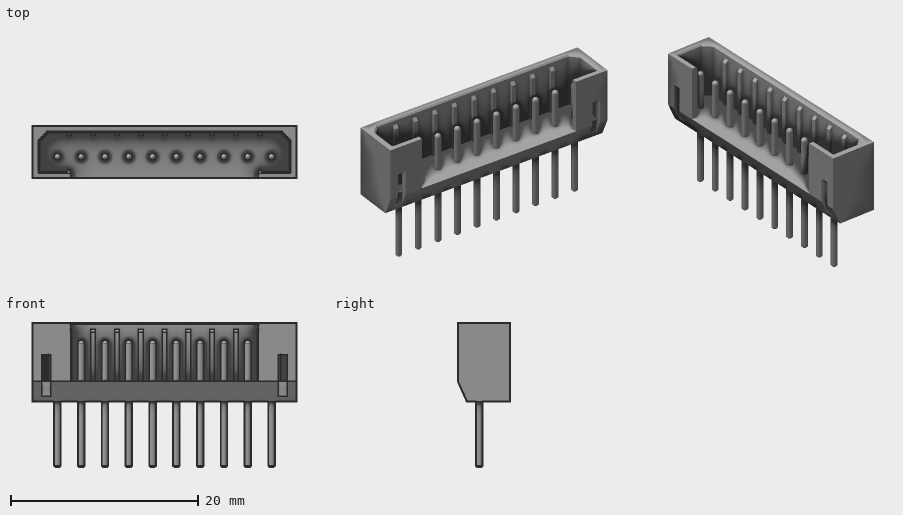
import cadquery as cq

length = 28.22
depth = 5.6
height = 8.4
floor_z = 2.17
front_bevel_height = 2.15
front_bevel_depth = 0.95

end_wall = 0.8
front_wall = 0.7
back_wall = 0.73
rim_bevel = 0.17
corner_cut = 0.93
opening_width = 20.05

slot_offset = 1.0
slot_width = 1.0
slot_top_z = 5.02

pin_count = 10
pitch = 2.55
pin_diameter = 0.73
pin_y = 2.29
pin_top_z = 6.58
pin_bottom_z = -7.0
pin_tip_chamfer = 0.17

rib_width = 0.5
rib_depth = 0.35
rib_top_z = 7.73

ridge_width = 0.42
ridge_depth = 0.23

pin_radius = pin_diameter / 2
cavity_half_length = length / 2 - end_wall
cavity_back_y = depth - back_wall


def spaced_x(count):
    """X positions one pitch apart, centred on X = 0."""
    return [(i - (count - 1) / 2) * pitch for i in range(count)]


def box(x_start, x_end, y_start, y_end, z_start, z_end):
    """Axis-aligned block between the given limits."""
    size = (x_end - x_start, y_end - y_start, z_end - z_start)
    return cq.Workplane("XY").box(*size, centered=False).translate((x_start, y_start, z_start))


def make_block():
    """Solid block with the lower front edge sloped back."""
    profile = [
        (front_bevel_depth, 0),
        (depth, 0),
        (depth, height),
        (0, height),
        (0, front_bevel_height),
    ]
    return cq.Workplane("YZ").polyline(profile).close().extrude(length / 2, both=True)


def cavity_outline(z):
    """Closed rectangle at the given level with its two back corners cut off."""
    half = cavity_half_length
    points = [
        (-half, front_wall),
        (half, front_wall),
        (half, cavity_back_y - corner_cut),
        (half - corner_cut, cavity_back_y),
        (corner_cut - half, cavity_back_y),
        (-half, cavity_back_y - corner_cut),
    ]
    return cq.Workplane("XY").workplane(offset=z).polyline(points).close()


def make_cavity():
    """Pocket that widens at 45 degrees towards the rim."""
    pocket = cavity_outline(floor_z).extrude(height - floor_z)
    rim = cavity_outline(height - rim_bevel).extrude(rim_bevel, taper=-45)
    return pocket.union(rim)


def make_ridge():
    """Ridge at the left edge of the opening, its top sloping on from the rim bevel."""
    edge_x = -opening_width / 2
    outline = [
        (edge_x - ridge_width, front_wall),
        (edge_x, front_wall),
        (edge_x - ridge_width / 2, front_wall + ridge_depth),
    ]
    ridge = cq.Workplane("XY").workplane(offset=floor_z).polyline(outline).close()
    ridge = ridge.extrude(height - rim_bevel - floor_z)
    top_z = height - rim_bevel
    back_y = front_wall + ridge_depth
    slope = [(front_wall, top_z), (back_y, top_z), (back_y, top_z - ridge_depth)]
    above = cq.Workplane("YZ").polyline(slope).close().extrude(length / 2, both=True)
    return ridge.cut(above)


def make_rib():
    """Back wall rib with a sloped top."""
    profile = [
        (cavity_back_y, floor_z),
        (cavity_back_y, rib_top_z),
        (cavity_back_y - rib_depth, rib_top_z - rib_depth),
        (cavity_back_y - rib_depth, floor_z),
    ]
    return cq.Workplane("YZ").polyline(profile).close().extrude(rib_width / 2, both=True)


def make_pin():
    """Round pin with a domed top and a chamfered bottom."""
    profile = (
        cq.Workplane("XZ")
        .moveTo(0, pin_bottom_z)
        .lineTo(pin_radius - pin_tip_chamfer, pin_bottom_z)
        .lineTo(pin_radius, pin_bottom_z + pin_tip_chamfer)
        .lineTo(pin_radius, pin_top_z - pin_radius)
        .radiusArc((0, pin_top_z), -pin_radius)
        .close()
    )
    return profile.revolve(360, (0, 0), (0, 1)).translate((0, pin_y, 0))


half_opening = opening_width / 2
opening = box(-half_opening, half_opening, 0, front_wall, floor_z, height)
result = make_block().cut(make_cavity()).cut(opening)

slot_x = slot_offset - length / 2
slot = box(slot_x, slot_x + slot_width, 0, front_wall, 0, slot_top_z)
result = result.cut(slot).cut(slot.mirror("YZ"))

ridge = make_ridge()
result = result.union(ridge).union(ridge.mirror("YZ"))

rib = make_rib()
for x in spaced_x(pin_count - 1):
    result = result.union(rib.translate((x, 0, 0)))

pin = make_pin()
for x in spaced_x(pin_count):
    result = result.union(pin.translate((x, 0, 0)))